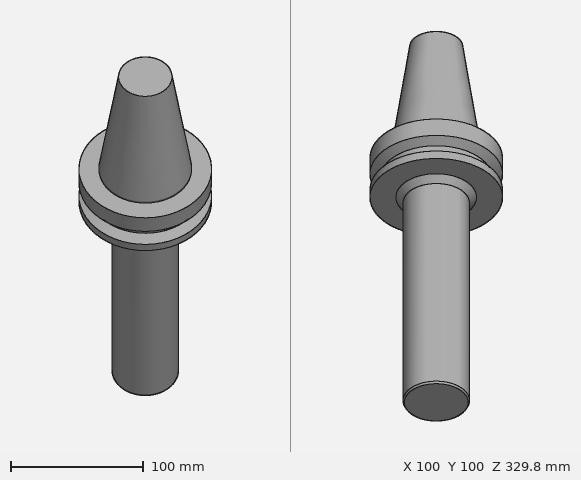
import cadquery as cq
import math

total_length = 329.8
taper_small_diameter = 40.2
taper_large_diameter = 70.0
taper_length = 102.0
neck_length = 1.0

flange_diameter = 100.0
upper_rim_height = 15.2
lower_rim_height = 7.0
groove_diameter = 85.0
groove_floor_height = 6.0
groove_flank_angle = 30.0

shank_diameter = 50.0
collar_size = 5.3
tip_chamfer_height = 1.5
tip_chamfer_width = 1.0

taper_small_radius = taper_small_diameter / 2
taper_large_radius = taper_large_diameter / 2
flange_radius = flange_diameter / 2
groove_radius = groove_diameter / 2
shank_radius = shank_diameter / 2

flank_height = (flange_radius - groove_radius) * math.tan(math.radians(groove_flank_angle))
taper_bottom = total_length - taper_length
flange_top = taper_bottom - neck_length
groove_top = flange_top - upper_rim_height
floor_top = groove_top - flank_height
floor_bottom = floor_top - groove_floor_height
groove_bottom = floor_bottom - flank_height
flange_bottom = groove_bottom - lower_rim_height
collar_bottom = flange_bottom - collar_size

profile = [
    (0, total_length),
    (taper_small_radius, total_length),
    (taper_large_radius, taper_bottom),
    (taper_large_radius, flange_top),
    (flange_radius, flange_top),
    (flange_radius, groove_top),
    (groove_radius, floor_top),
    (groove_radius, floor_bottom),
    (flange_radius, groove_bottom),
    (flange_radius, flange_bottom),
    (shank_radius + collar_size, flange_bottom),
    (shank_radius, collar_bottom),
    (shank_radius, tip_chamfer_height),
    (shank_radius - tip_chamfer_width, 0),
    (0, 0),
]

result = cq.Workplane("XZ").polyline(profile).close().revolve(360, (0, 0, 0), (0, 1, 0))